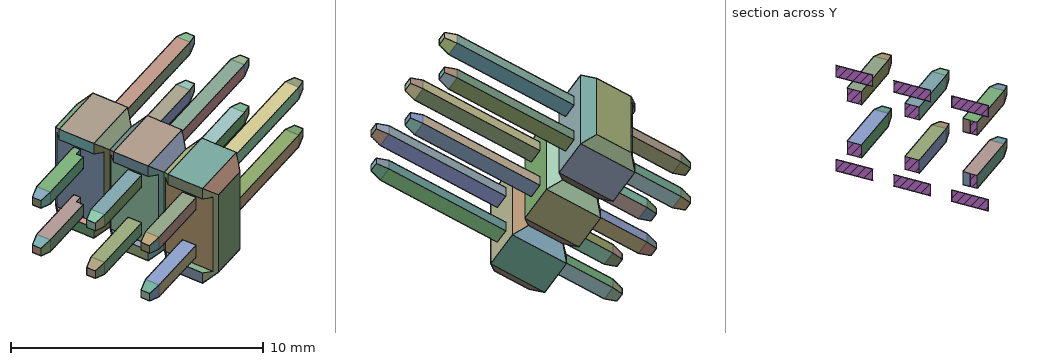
import cadquery as cq

columns = 3
rows = 2
pitch = 2.54

body_depth = 2.54
body_height = 5.04
bevel = 0.46
recess_depth = 0.3
rim_height = 0.55

pin_length = 11.54
pin_width = 0.63
tip_length = 0.52
tip_width = 0.4
front_reach = 3.0

body_front = -pin_length / 2 + front_reach
body_center = body_front + body_depth / 2
shank_length = pin_length - 2 * tip_length


def centers(count):
    """Positions of evenly pitched items, centred on zero."""
    return [(i - (count - 1) / 2) * pitch for i in range(count)]


def half_block(direction):
    """One X half of a block, its outer end narrowed by the bevel on all four sides."""
    core = pitch / 2 - bevel
    return (
        cq.Workplane("YZ")
        .rect(body_depth, body_height)
        .extrude(direction * core)
        .union(
            cq.Workplane("YZ", origin=(direction * core, 0, 0))
            .rect(body_depth, body_height)
            .workplane(offset=direction * bevel)
            .rect(body_depth - 2 * bevel, body_height - 2 * bevel)
            .loft(ruled=True)
        )
    )


def make_block():
    """Bevelled housing block with a recess across its front, between two rims."""
    recess = cq.Workplane("XY").box(pitch, recess_depth, body_height - 2 * rim_height)
    recess = recess.translate((0, (recess_depth - body_depth) / 2, 0))
    return half_block(1).union(half_block(-1)).cut(recess)


def pin_tip(direction):
    """Tapered end of a pin, pointing along +Y or -Y."""
    return (
        cq.Workplane("XZ", origin=(0, direction * shank_length / 2, 0))
        .rect(pin_width, pin_width)
        .workplane(offset=-direction * tip_length)
        .rect(tip_width, tip_width)
        .loft(ruled=True)
    )


def make_pin():
    """Square pin with a tapered tip at each end."""
    shank = cq.Workplane("XY").box(pin_width, shank_length, pin_width)
    return shank.union(pin_tip(1)).union(pin_tip(-1))


def make_notched_pin():
    """Pin with its +X half cut away where it crosses the housing recess."""
    notch = cq.Workplane("XY").box(pin_width / 2, recess_depth, pin_width)
    notch = notch.translate((pin_width / 4, body_front + recess_depth / 2, 0))
    return make_pin().cut(notch)


block = make_block()
pin = make_pin()
notched_pin = make_notched_pin()

result = cq.Workplane("XY")
for column, x in enumerate(centers(columns)):
    column_pin = notched_pin if column == 0 else pin
    result = result.union(block.translate((x, body_center, 0)))
    for z in centers(rows):
        result = result.union(column_pin.translate((x, 0, z)))